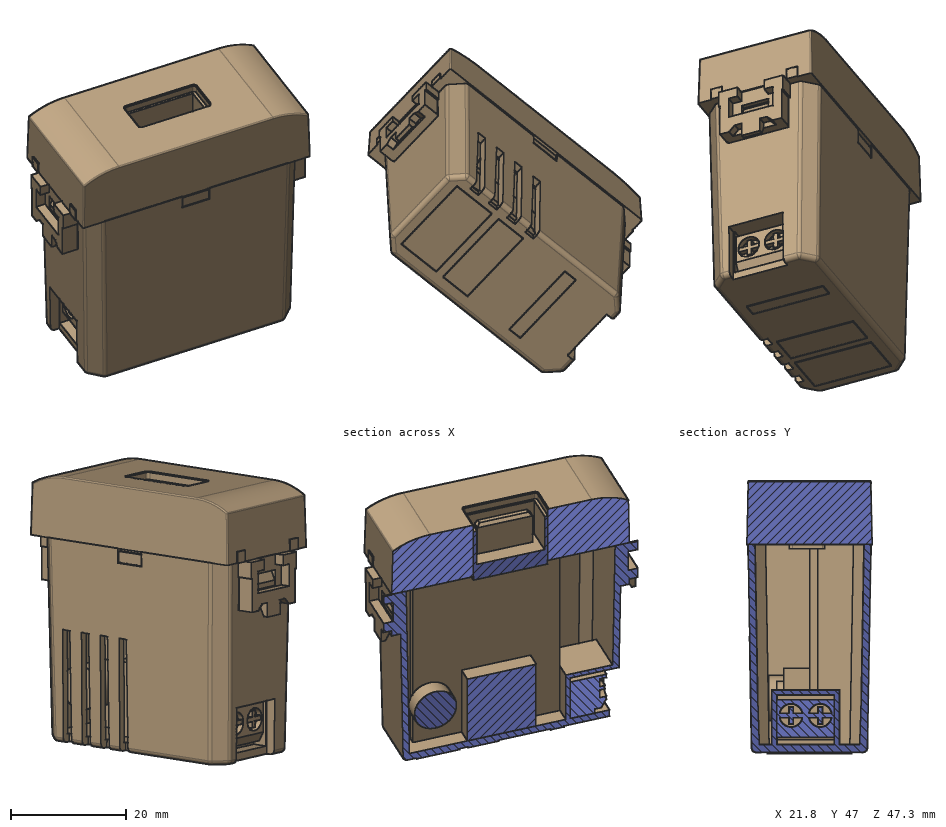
import cadquery as cq
import math

TOTAL_HEIGHT = 47.25
CAP_BOTTOM = 36.2
HOUSING_BOTTOM = 0.2
OVERLAP = 0.45

CAP_WIDTH = 21.8
CAP_LENGTH = 44.05
CAP_DRAFT = 1.3
CAP_FLAT_HALF = 14.95
CAP_END_RADIUS = 13.7
CAP_EDGE_RADIUS = 0.25
PAD_OFFSET = 7.25
PAD_WIDTH = 2.1
PAD_HEIGHT = 2.05
PAD_FACE = 22.2

HOUSING_WIDTH = 21.35
HOUSING_LENGTH = 41.05
HOUSING_DRAFT = 1.0
CORNER_CHAMFER = 2.55
CORNER_RADIUS = 0.95
BOTTOM_RADIUS = 0.9
WALL = 1.28
FLOOR_TOP = 1.6
CUT_DEPTH = 1.65

SLOT_COUNT = 4
SLOT_FIRST_Y = 1.75
SLOT_PITCH = 4.2
SLOT_TOP = 20.2
SLOT_TOP_WIDTH = 1.6
SLOT_BOTTOM_WIDTH = 1.85

CLIP_FACE = 47.0 / 2
CLIP_BACK = 20.6
CLIP_BASE_INSET = 0.1
CLIP_TOP_WIDTH = 12.4
CLIP_WIDTH = 11.8
CLIP_STEP = 33.25
CLIP_BOTTOM = 27.35
CLIP_WINDOW_WIDTH = 8.5
CLIP_WINDOW_BOTTOM = 30.48
CLIP_WINDOW_TOP = 34.35
CLIP_WINDOW_FLOOR = 21.8
CLIP_GAP_WIDTH = 5.15
TONGUE_WIDTH = 3.5
TONGUE_BOTTOM = 25.9
TONGUE_ROOT = 1.5
TONGUE_TIP = 0.75
RELIEF_HEIGHT = 1.1
RELIEF_WIDTH = 1.3
CATCH_DEPTH = 0.85
CATCH_TOP = 33.4
CATCH_RAMP_TOP = 33.1
CATCH_RAMP_BOTTOM = 31.55
CATCH_BOTTOM = 30.6
CATCH_SETBACK = 0.15

LATCH_WIDTH = 5.35
LATCH_BOTTOM = 33.55
LATCH_DEPTH = 0.65
LATCH_TAB_WIDTH = 5.05
LATCH_TAB_BOTTOM = 33.65
LATCH_TAB_TOP = 35.65
LATCH_TAB_HEIGHT = 0.55

LABEL_WIDTH = 14.65
LABEL_STRIPS = [(-9.88, -7.35), (2.2, 7.85), (9.4, 17.4)]

SOCKET_X = -0.43
SOCKET_TOP = 45.85
SOCKET_BOTTOM = 35.45
SOCKET_CAVITY_BOTTOM = 38.75
SOCKET_WIDTH = 6.15
SOCKET_LENGTH = 13.7
SOCKET_CAVITY_WIDTH = 5.2
SOCKET_CAVITY_LENGTH = 12.47
OPENING_RADIUS = 0.45
OPENING_CHAMFER = 0.2
BLADE_X = 0.7
BLADE_WIDTH = 1.4
BLADE_LENGTH = 10.2
BLADE_TOP = 44.9
BLADE_CHAMFER = 0.55
BLADE_FOOT_WIDTH = 1.8
BLADE_FOOT_TOP = 39.7

TERMINAL_X = -0.65
TERMINAL_WIDTH = 9.88
TERMINAL_CLEARANCE = 0.25
CHAMBER_WALL = 0.95
TERMINAL_FRONT = -17.7
TERMINAL_DEPTH = 6.6
TERMINAL_BACK = TERMINAL_FRONT + TERMINAL_DEPTH
TERMINAL_TOP = 9.35
TERMINAL_OPENING_TOP = 10.1
TERMINAL_LEDGE = 4.0
TERMINAL_FOOT = 2.35
TERMINAL_SLOPE_SETBACK = 0.95
TERMINAL_FOOT_SETBACK = 2.13
SCREW_PITCH = 5.05
SCREW_Z = 6.6
SCREW_RADIUS = 2.0
SCREW_DEPTH = 1.2
CROSS_HEIGHT = 0.95
CROSS_ARM = 0.8
CROSS_SPAN = 3.0

BOARD_X = 0.0
BOARD_THICKNESS = 1.4
BOARD_REAR = 17.0
BLOCK_FACE = -4.5
BLOCK_FRONT = -4.72
BLOCK_REAR = 8.05
BLOCK_TOP = 14.75
BUTTON_Y = 0.0
BUTTON_Z = 10.55
BUTTON_RADIUS = 2.0
BUTTON_HEIGHT = 1.2

CAPACITOR_Y = 13.9
CAPACITOR_Z = 9.65
CAPACITOR_RADIUS = 3.9
CAPACITOR_LENGTH = 7.1


def box(x0, x1, y0, y1, z0, z1):
    """Axis-aligned block between two corners."""
    return cq.Workplane("XY").box(x1 - x0, y1 - y0, z1 - z0, centered=False).translate((x0, y0, z0))


def wide_box(width, y0, y1, z0, z1, x=0.0):
    """Block of the given width centred on x."""
    return box(x - width / 2, x + width / 2, y0, y1, z0, z1)


def with_opposite(shape):
    """The shape and its copy turned half a turn about Z."""
    return shape.union(shape.rotate((0, 0, 0), (0, 0, 1), 180))


def make_cap():
    height = TOTAL_HEIGHT - CAP_BOTTOM
    cap = (
        cq.Workplane("XY", origin=(0, 0, CAP_BOTTOM))
        .rect(CAP_WIDTH, CAP_LENGTH)
        .extrude(height, taper=CAP_DRAFT)
    )

    reach = CAP_LENGTH / 2 - CAP_FLAT_HALF
    drop = CAP_END_RADIUS - math.sqrt(CAP_END_RADIUS**2 - reach**2)
    half_reach = CAP_FLAT_HALF + reach / 2
    half_drop = CAP_END_RADIUS - math.sqrt(CAP_END_RADIUS**2 - (reach / 2) ** 2)
    end = CAP_LENGTH / 2
    profile = (
        cq.Workplane("YZ", origin=(-CAP_WIDTH / 2, 0, 0))
        .moveTo(-end, CAP_BOTTOM)
        .lineTo(-end, TOTAL_HEIGHT - drop)
        .threePointArc((-half_reach, TOTAL_HEIGHT - half_drop), (-CAP_FLAT_HALF, TOTAL_HEIGHT))
        .lineTo(CAP_FLAT_HALF, TOTAL_HEIGHT)
        .threePointArc((half_reach, TOTAL_HEIGHT - half_drop), (end, TOTAL_HEIGHT - drop))
        .lineTo(end, CAP_BOTTOM)
        .close()
        .extrude(CAP_WIDTH)
    )
    cap = cap.intersect(profile)
    cap = cap.faces("<X or >X or <Y or >Y").edges("not <Z").fillet(CAP_EDGE_RADIUS)

    for x in (-PAD_OFFSET, PAD_OFFSET):
        pad = wide_box(PAD_WIDTH, -PAD_FACE, OVERLAP - CAP_LENGTH / 2, CAP_BOTTOM, CAP_BOTTOM + PAD_HEIGHT, x)
        cap = cap.union(with_opposite(pad))

    passage = (
        cq.Workplane("XY", origin=(SOCKET_X, 0, CAP_BOTTOM))
        .rect(SOCKET_WIDTH, SOCKET_LENGTH)
        .extrude(height)
        .edges("|Z")
        .fillet(OPENING_RADIUS)
    )
    cap = cap.cut(passage)
    mouth = cq.selectors.BoxSelector(
        (SOCKET_X - SOCKET_WIDTH, -SOCKET_LENGTH, TOTAL_HEIGHT - OPENING_CHAMFER),
        (SOCKET_X + SOCKET_WIDTH, SOCKET_LENGTH, TOTAL_HEIGHT + OPENING_CHAMFER),
    )
    return cap.edges(mouth).chamfer(OPENING_CHAMFER)


def housing_half(top_size, z):
    """Half size of the drafted housing at height z."""
    return top_size / 2 - (CAP_BOTTOM - z) * math.tan(math.radians(HOUSING_DRAFT))


def make_shell():
    outer = (
        cq.Workplane("XY", origin=(0, 0, CAP_BOTTOM))
        .rect(HOUSING_WIDTH, HOUSING_LENGTH)
        .extrude(HOUSING_BOTTOM - CAP_BOTTOM, taper=HOUSING_DRAFT)
        .edges("not(#Z)")
        .chamfer(CORNER_CHAMFER)
        .edges("not(#Z)")
        .fillet(CORNER_RADIUS)
        .faces("<Z")
        .edges()
        .fillet(BOTTOM_RADIUS)
    )
    cavity = (
        cq.Workplane("XY", origin=(0, 0, CAP_BOTTOM))
        .rect(HOUSING_WIDTH - 2 * WALL, HOUSING_LENGTH - 2 * WALL)
        .extrude(FLOOR_TOP - CAP_BOTTOM, taper=HOUSING_DRAFT)
        .edges("not(#Z)")
        .chamfer(CORNER_CHAMFER - WALL * (2 - math.sqrt(2)))
    )
    return outer.cut(cavity)


def make_clip():
    """Mounting clip on the -Y end, with its catch pocket left to cut."""
    inner = OVERLAP - housing_half(HOUSING_LENGTH, CLIP_BOTTOM)
    clip = wide_box(CLIP_WIDTH - 2 * CLIP_BASE_INSET, -CLIP_BACK, inner, CLIP_BOTTOM, CAP_BOTTOM)
    clip = clip.union(wide_box(CLIP_TOP_WIDTH, -CLIP_FACE, -CLIP_BACK, CLIP_STEP, CAP_BOTTOM))
    clip = clip.union(wide_box(CLIP_WIDTH, -CLIP_FACE, -CLIP_BACK, CLIP_BOTTOM, CLIP_STEP))

    window = wide_box(CLIP_WINDOW_WIDTH, -CLIP_FACE, -CLIP_WINDOW_FLOOR, CLIP_WINDOW_BOTTOM, CLIP_WINDOW_TOP)
    gap = wide_box(CLIP_GAP_WIDTH, -CLIP_FACE, -CLIP_WINDOW_FLOOR, CLIP_WINDOW_TOP, CAP_BOTTOM)
    flat = TONGUE_WIDTH / 2 + RELIEF_WIDTH
    relief = (
        cq.Workplane("XZ", origin=(0, TONGUE_ROOT - CLIP_FACE, 0))
        .moveTo(-flat - RELIEF_HEIGHT, CLIP_BOTTOM)
        .lineTo(-flat, CLIP_BOTTOM + RELIEF_HEIGHT)
        .lineTo(flat, CLIP_BOTTOM + RELIEF_HEIGHT)
        .lineTo(flat + RELIEF_HEIGHT, CLIP_BOTTOM)
        .close()
        .extrude(TONGUE_ROOT)
    )
    clip = clip.cut(window).cut(gap).cut(relief)

    relief_top = CLIP_BOTTOM + RELIEF_HEIGHT
    tongue = (
        cq.Workplane("YZ", origin=(-TONGUE_WIDTH / 2, 0, 0))
        .moveTo(-CLIP_FACE, relief_top)
        .lineTo(-CLIP_FACE, TONGUE_BOTTOM)
        .lineTo(-CLIP_FACE + TONGUE_TIP, TONGUE_BOTTOM)
        .lineTo(-CLIP_FACE + TONGUE_ROOT, CLIP_BOTTOM)
        .lineTo(-CLIP_FACE + TONGUE_ROOT, relief_top)
        .close()
        .extrude(TONGUE_WIDTH)
    )
    return clip.union(tongue)


def make_catch_pocket():
    """Pocket behind the clip window whose floor ramps outwards."""
    return (
        cq.Workplane("YZ", origin=(-CLIP_GAP_WIDTH / 2, 0, 0))
        .moveTo(-CLIP_FACE, CATCH_TOP)
        .lineTo(CATCH_DEPTH - CLIP_WINDOW_FLOOR, CATCH_TOP)
        .lineTo(CATCH_DEPTH - CLIP_WINDOW_FLOOR, CATCH_RAMP_TOP)
        .lineTo(CATCH_SETBACK - CLIP_WINDOW_FLOOR, CATCH_RAMP_BOTTOM)
        .lineTo(CATCH_SETBACK - CLIP_WINDOW_FLOOR, CATCH_BOTTOM)
        .lineTo(-CLIP_FACE, CATCH_BOTTOM)
        .close()
        .extrude(CLIP_GAP_WIDTH)
    )


def make_latch_pocket():
    """Latch window on the -X wall with a lower tab standing in it."""
    outside = -HOUSING_WIDTH / 2
    floor = LATCH_DEPTH - housing_half(HOUSING_WIDTH, LATCH_BOTTOM)
    pocket = box(outside, floor, -LATCH_WIDTH / 2, LATCH_WIDTH / 2, LATCH_BOTTOM, CAP_BOTTOM)
    tab = box(
        floor - LATCH_TAB_HEIGHT, floor,
        -LATCH_TAB_WIDTH / 2, LATCH_TAB_WIDTH / 2,
        LATCH_TAB_BOTTOM, LATCH_TAB_TOP,
    )
    return pocket.cut(tab)


def make_slot(y):
    """Ventilation slot in the -X wall, wider towards its open lower end."""
    inside = CUT_DEPTH - housing_half(HOUSING_WIDTH, FLOOR_TOP)
    return (
        cq.Workplane("YZ", origin=(-HOUSING_WIDTH / 2, y, 0))
        .moveTo(-SLOT_BOTTOM_WIDTH / 2, 0)
        .lineTo(-SLOT_TOP_WIDTH / 2, SLOT_TOP)
        .lineTo(SLOT_TOP_WIDTH / 2, SLOT_TOP)
        .lineTo(SLOT_BOTTOM_WIDTH / 2, 0)
        .close()
        .extrude(inside + HOUSING_WIDTH / 2)
    )


def make_terminal_opening():
    inside = CUT_DEPTH - housing_half(HOUSING_LENGTH, FLOOR_TOP)
    width = TERMINAL_WIDTH + 2 * TERMINAL_CLEARANCE
    return wide_box(width, -HOUSING_LENGTH / 2, inside, 0, TERMINAL_OPENING_TOP, TERMINAL_X)


def make_terminal_chamber():
    """Walls and roof that enclose the terminal behind its opening."""
    front = OVERLAP - housing_half(HOUSING_LENGTH, FLOOR_TOP)
    outer = wide_box(
        TERMINAL_WIDTH + 2 * CHAMBER_WALL, front, TERMINAL_BACK + CHAMBER_WALL,
        FLOOR_TOP, TERMINAL_OPENING_TOP + CHAMBER_WALL, TERMINAL_X,
    )
    inner = wide_box(TERMINAL_WIDTH, front, TERMINAL_BACK, FLOOR_TOP, TERMINAL_OPENING_TOP, TERMINAL_X)
    return outer.cut(inner)


def make_housing():
    housing = make_shell().union(with_opposite(make_clip()))
    housing = housing.cut(with_opposite(make_catch_pocket()))
    housing = housing.cut(with_opposite(make_latch_pocket()))
    for index in range(SLOT_COUNT):
        housing = housing.cut(make_slot(SLOT_FIRST_Y + index * SLOT_PITCH))
    housing = housing.union(make_terminal_chamber()).cut(make_terminal_opening())
    for y0, y1 in LABEL_STRIPS:
        housing = housing.union(wide_box(LABEL_WIDTH, y0, y1, 0, FLOOR_TOP))
    return housing


def make_socket():
    def block(width, length, z0, z1):
        return wide_box(width, -length / 2, length / 2, z0, z1, SOCKET_X)

    socket = block(SOCKET_WIDTH, SOCKET_LENGTH, SOCKET_BOTTOM, SOCKET_TOP).edges("|Z").fillet(OPENING_RADIUS)
    socket = socket.cut(block(SOCKET_CAVITY_WIDTH, SOCKET_CAVITY_LENGTH, SOCKET_CAVITY_BOTTOM, SOCKET_TOP))

    half = BLADE_LENGTH / 2
    blade = wide_box(BLADE_WIDTH, -half, half, SOCKET_CAVITY_BOTTOM, BLADE_TOP, BLADE_X)
    blade = blade.faces(">Z").edges("<X or |X").chamfer(BLADE_CHAMFER)
    foot_left = BLADE_X - BLADE_WIDTH / 2
    foot = box(foot_left, foot_left + BLADE_FOOT_WIDTH, -half, half, SOCKET_CAVITY_BOTTOM, BLADE_FOOT_TOP)
    return socket.union(blade).union(foot)


def make_terminal():
    foot_front = TERMINAL_FRONT + TERMINAL_FOOT_SETBACK
    terminal = (
        cq.Workplane("YZ", origin=(TERMINAL_X - TERMINAL_WIDTH / 2, 0, 0))
        .moveTo(TERMINAL_FRONT, TERMINAL_TOP)
        .lineTo(TERMINAL_FRONT, TERMINAL_LEDGE)
        .lineTo(TERMINAL_FRONT + TERMINAL_SLOPE_SETBACK, TERMINAL_FOOT)
        .lineTo(foot_front, TERMINAL_FOOT)
        .lineTo(foot_front, FLOOR_TOP)
        .lineTo(TERMINAL_BACK, FLOOR_TOP)
        .lineTo(TERMINAL_BACK, TERMINAL_TOP)
        .close()
        .extrude(TERMINAL_WIDTH)
    )

    well_floor = TERMINAL_FRONT + SCREW_DEPTH
    cross_front = well_floor - CROSS_HEIGHT
    for x in (TERMINAL_X - SCREW_PITCH / 2, TERMINAL_X + SCREW_PITCH / 2):
        well = (
            cq.Workplane("XZ", origin=(x, well_floor, SCREW_Z))
            .circle(SCREW_RADIUS)
            .extrude(SCREW_DEPTH)
        )
        upright = wide_box(
            CROSS_ARM, cross_front, well_floor, SCREW_Z - CROSS_SPAN / 2, SCREW_Z + CROSS_SPAN / 2, x
        )
        level = wide_box(
            2 * SCREW_RADIUS, cross_front, well_floor, SCREW_Z - CROSS_ARM / 2, SCREW_Z + CROSS_ARM / 2, x
        )
        terminal = terminal.cut(well.cut(upright).cut(level))
    return terminal


def make_board():
    """Upright board behind the terminal, with a block and a round button on its -X face."""
    front = TERMINAL_BACK + CHAMBER_WALL
    board = box(BOARD_X, BOARD_X + BOARD_THICKNESS, front, BOARD_REAR, FLOOR_TOP, SOCKET_BOTTOM)
    block = box(BLOCK_FACE, BOARD_X, BLOCK_FRONT, BLOCK_REAR, FLOOR_TOP, BLOCK_TOP)
    button = (
        cq.Workplane("YZ", origin=(BLOCK_FACE, BUTTON_Y, BUTTON_Z))
        .circle(BUTTON_RADIUS)
        .extrude(-BUTTON_HEIGHT)
    )
    return board.union(block).union(button)


def make_capacitor():
    """Cylinder lying along X that stands on the board."""
    return (
        cq.Workplane("YZ", origin=(BOARD_X, CAPACITOR_Y, CAPACITOR_Z))
        .circle(CAPACITOR_RADIUS)
        .extrude(-CAPACITOR_LENGTH)
    )


cap = make_cap()
housing = make_housing()
socket = make_socket()
terminal = make_terminal()
board = make_board()
capacitor = make_capacitor()

result = cq.Compound.makeCompound([
    cap.val(),
    housing.val(),
    socket.val(),
    terminal.val(),
    board.val(),
    capacitor.val(),
])